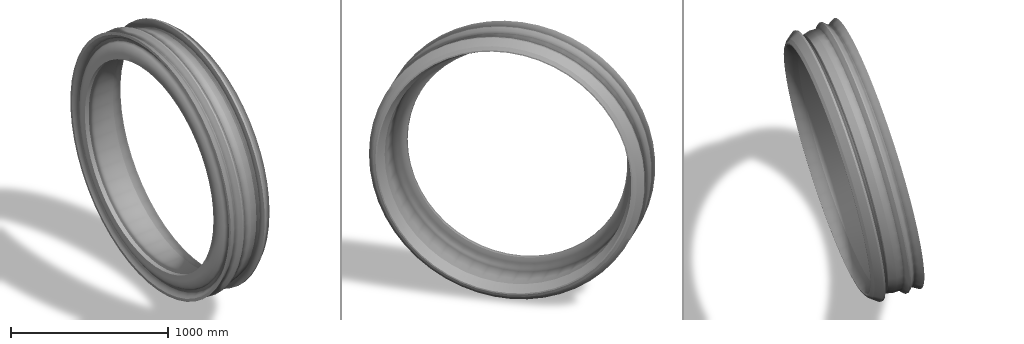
import cadquery as cq

width = 350.0
outer_radius = 905.0
lip_radius = 1450.0 / 2
tread_radius = 1750.0 / 2
back_face_radius = 1690.0 / 2

lip_thickness = 29.0
bore_radius = 1610.0 / 2
flare_start_y = 270.0
flare_end_radius = 836.0

front_rim_y = 10.0
front_rim_inner_radius = 885.0
recess_floor_y = 43.0
recess_outer_radius = 855.0
recess_inner_radius = 835.0

bead_inner_radius = 765.0
bead_mid_radius = 809.0
bead_mid_y = 13.0

valley_start_y = 62.0
valley_end_y = 69.0

ridge_start_y = 101.0
ridge_end_y = 110.0
tread_start_y = 140.0
tread_end_y = 188.0
taper_end_y = 237.0
taper_end_radius = 862.0

groove_start_y = 246.0
groove_end_y = 259.0
groove_radius = 843.0
flange_foot_radius = 850.0

flange_start_y = 272.0
flange_end_y = 285.0
back_bevel_y = 333.0
back_bevel_radius = 867.0

inner_corner_radius = bore_radius - bead_inner_radius
inner_corner_end_y = lip_thickness + inner_corner_radius

half_section = (
    cq.Workplane("XY")
    .moveTo(lip_radius, 0)
    .lineTo(bead_inner_radius, 0)
    .threePointArc((bead_mid_radius, bead_mid_y), (recess_inner_radius, recess_floor_y))
    .lineTo(recess_outer_radius, recess_floor_y)
    .lineTo(front_rim_inner_radius, front_rim_y)
    .lineTo(outer_radius, front_rim_y)
    .lineTo(tread_radius, valley_start_y)
    .lineTo(tread_radius, valley_end_y)
    .lineTo(outer_radius, ridge_start_y)
    .lineTo(outer_radius, ridge_end_y)
    .lineTo(tread_radius, tread_start_y)
    .lineTo(tread_radius, tread_end_y)
    .lineTo(taper_end_radius, taper_end_y)
    .lineTo(groove_radius, groove_start_y)
    .lineTo(groove_radius, groove_end_y)
    .lineTo(flange_foot_radius, flange_start_y)
    .lineTo(outer_radius, flange_start_y)
    .lineTo(outer_radius, flange_end_y)
    .lineTo(back_bevel_radius, back_bevel_y)
    .lineTo(back_face_radius, width)
    .lineTo(flare_end_radius, width)
    .lineTo(bore_radius, flare_start_y)
    .lineTo(bore_radius, inner_corner_end_y)
    .radiusArc((bead_inner_radius, lip_thickness), inner_corner_radius)
    .lineTo(lip_radius, lip_thickness)
    .close()
)
result = half_section.revolve(360, (0, 0, 0), (0, 1, 0))